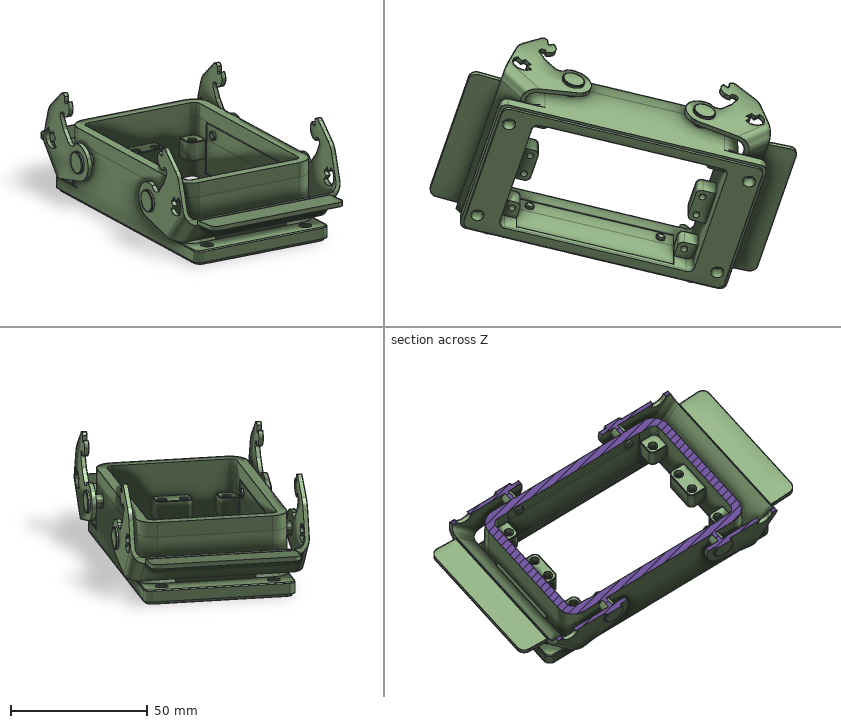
import math

import cadquery as cq

FLANGE_HALF_X = 50.8
LIP_HEIGHT = 1.1
LIP_INSET = 1.0
FLANGE_TOP = 5.6
FLANGE_CORNER = 2.7
FLANGE_EDGE_CHAMFER = 0.4
MOUNT_HOLE_DIAMETER = 4.7
MOUNT_HOLE_X = 45.8
MOUNT_HOLE_Y = 21.0

HOUSING_TOP = 28.5
SEAM_Z = 22.9
HOUSING_HALF_X = 41.0
HOUSING_HALF_Y = 28.2
HOUSING_CORNER = 6.7
DRAFT_OFFSET = 0.3
SKIRT_SIZE = 1.3
OPENING_HALF_X = 37.2
OPENING_HALF_Y = 24.3
OPENING_CORNER = 2.5
OPENING_DRAFT = 0.6

RECESS_HALF_X = 30.0
RECESS_DEPTH = 0.2
RECESS_HALF_Y = OPENING_HALF_Y + RECESS_DEPTH
RECESS_BOTTOM = 2.8
RECESS_TOP = 22.4
RECESS_DRAFT = 0.2

BOSS_INNER_X = 30.1
BOSS_TOP = 15.8
BOSS_BOTTOM = 8.5
BOSS_ROUND = 2.1
BOSS_EDGE_CHAMFER = 0.25
BOSS_OVERLAP = 1.0
CORNER_BOSS_INNER_Y = 17.1
MIDDLE_BOSS_HALF_Y = 6.9
SCREW_X = 32.9
SCREW_Y = (4.1, 20.0)
SCREW_DIAMETER = 2.5
SCREW_COUNTERBORE_DIAMETER = 3.4
SCREW_COUNTERBORE_DEPTH = 3.5

RIB_HALF_Y = 15.0
RIB_OUTER_X = 42.5
RIB_TOP = 9.0

PIVOT_X = 25.0
PIVOT_Z = 18.8
PIN_DIAMETER = 5.1
PIN_HEAD_DIAMETER = 8.3
PIN_HEAD_HEIGHT = 1.0
PIN_HEAD_CHAMFER = 0.3
PIN_TIP_DIAMETER = 3.3
PIN_TIP_Y = 23.4
PIN_TIP_CHAMFER = 0.4
PIN_SHOULDER_Y = 26.0

LEVER_HALF_Y = 33.55
SHEET = 1.7
BEND_RADIUS = 5.0
WEB_ANGLE = 49.0
WEB_TOP_X = -51.1
WEB_TOP_Z = 16.1
EAR_RADIUS = 7.0
EAR_LOWER_ANGLE = 13.0
EAR_NECK_ANGLE = 110.0
CHANNEL_LENGTH = 80.0
CHANNEL_DEPTH = 60.0
HANDLE_END_X = -124.95 / 2
HANDLE_RISE = 0.8
HANDLE_CORNER = 3.0
WINDOW_X = -43.6
WINDOW_Z = 23.1
WINDOW_HALF_CHORD = 4.0
WINDOW_DEPTH = 4.6
WINDOW_TAB_WIDTH = 3.0
WINDOW_TAB_LENGTH = 1.9
LEVER_TIP_Z = 42.37


def rounded_block(half_x, half_y, corner, bottom, top):
    block = cq.Workplane("XY").box(2 * half_x, 2 * half_y, top - bottom, centered=(True, True, False))
    return block.edges("|Z").fillet(corner).translate((0, 0, bottom))


def rounded_outline(half_x, half_y, corner):
    return cq.Sketch().rect(2 * half_x, 2 * half_y).vertices().fillet(corner)


def drafted_block(half_x, half_y, corner, spread, bottom, top):
    """Rounded block with the given size at the top, grown by spread at the bottom."""
    lower = rounded_outline(half_x + spread, half_y + spread, corner + spread)
    upper = rounded_outline(half_x, half_y, corner)
    return cq.Workplane("XY", origin=(0, 0, bottom)).placeSketch(
        lower, upper.moved(cq.Location(cq.Vector(0, 0, top - bottom)))
    ).loft()


def make_base():
    half_y = HOUSING_HALF_Y + DRAFT_OFFSET
    draft_prism = (
        cq.Workplane("YZ", origin=(-FLANGE_HALF_X, 0, 0))
        .moveTo(-half_y, LIP_HEIGHT)
        .lineTo(half_y, LIP_HEIGHT)
        .lineTo(HOUSING_HALF_Y, SEAM_Z)
        .lineTo(-HOUSING_HALF_Y, SEAM_Z)
        .close()
        .extrude(2 * FLANGE_HALF_X)
    )
    flange = rounded_block(FLANGE_HALF_X, half_y, FLANGE_CORNER, LIP_HEIGHT, FLANGE_TOP)
    flange = flange.faces(">Z").edges().chamfer(FLANGE_EDGE_CHAMFER)
    flange = flange.intersect(draft_prism)
    lip = rounded_block(FLANGE_HALF_X - LIP_INSET, half_y - LIP_INSET, FLANGE_CORNER, 0, LIP_HEIGHT)
    mount_holes = (
        cq.Workplane("XY")
        .rect(2 * MOUNT_HOLE_X, 2 * MOUNT_HOLE_Y, forConstruction=True)
        .vertices()
        .circle(MOUNT_HOLE_DIAMETER / 2)
        .extrude(FLANGE_TOP)
    )
    return flange.union(lip).cut(mount_holes)


def make_housing():
    upper = rounded_block(HOUSING_HALF_X, HOUSING_HALF_Y, HOUSING_CORNER, SEAM_Z, HOUSING_TOP)
    lower = drafted_block(
        HOUSING_HALF_X, HOUSING_HALF_Y, HOUSING_CORNER, DRAFT_OFFSET, LIP_HEIGHT, SEAM_Z
    )
    skirt = drafted_block(
        HOUSING_HALF_X, HOUSING_HALF_Y, HOUSING_CORNER, SKIRT_SIZE, FLANGE_TOP, FLANGE_TOP + SKIRT_SIZE
    )
    rib = (
        cq.Workplane("XY", origin=(0, 0, FLANGE_TOP))
        .rect(2 * RIB_OUTER_X, 2 * RIB_HALF_Y)
        .extrude(RIB_TOP - FLANGE_TOP)
    )
    footprint = cq.Workplane("XY").box(
        2 * FLANGE_HALF_X, 2 * HOUSING_HALF_Y, HOUSING_TOP, centered=(True, True, False)
    )
    skirt = skirt.intersect(footprint)
    return make_base().union(lower).union(upper).union(skirt).union(rib).clean()


def make_opening():
    upper = rounded_block(OPENING_HALF_X, OPENING_HALF_Y, OPENING_CORNER, SEAM_Z, HOUSING_TOP)
    lower = (
        cq.Workplane("XY", origin=(0, 0, LIP_HEIGHT))
        .placeSketch(
            rounded_outline(OPENING_HALF_X, OPENING_HALF_Y - OPENING_DRAFT, OPENING_CORNER),
            rounded_outline(OPENING_HALF_X, OPENING_HALF_Y, OPENING_CORNER).moved(
                cq.Location(cq.Vector(0, 0, SEAM_Z - LIP_HEIGHT))
            ),
        )
        .loft()
    )
    lip = rounded_block(
        OPENING_HALF_X, OPENING_HALF_Y - OPENING_DRAFT, OPENING_CORNER, 0, LIP_HEIGHT
    )
    sill_half_y = RECESS_HALF_Y - RECESS_DRAFT
    recess = (
        cq.Workplane("YZ", origin=(-RECESS_HALF_X, 0, 0))
        .moveTo(-sill_half_y, RECESS_BOTTOM)
        .lineTo(sill_half_y, RECESS_BOTTOM)
        .lineTo(RECESS_HALF_Y, BOSS_TOP)
        .lineTo(RECESS_HALF_Y, RECESS_TOP)
        .lineTo(-RECESS_HALF_Y, RECESS_TOP)
        .lineTo(-RECESS_HALF_Y, BOSS_TOP)
        .close()
        .extrude(2 * RECESS_HALF_X)
    )
    return upper.union(lower).union(lip).union(recess)


def make_boss(y_low, y_high, rounded_edges):
    """Boss on the -X inner wall; the chosen free vertical edges are rounded."""
    outer_x = OPENING_HALF_X + BOSS_OVERLAP
    boss = cq.Workplane("XY").box(
        outer_x - BOSS_INNER_X, y_high - y_low, BOSS_TOP - BOSS_BOTTOM, centered=False
    )
    boss = boss.edges(rounded_edges).fillet(BOSS_ROUND)
    boss = boss.faces(">Z").edges().chamfer(BOSS_EDGE_CHAMFER)
    return boss.translate((-outer_x, y_low, BOSS_BOTTOM))


def make_end_bosses():
    wall_y = OPENING_HALF_Y + BOSS_OVERLAP
    corner = make_boss(CORNER_BOSS_INNER_Y, wall_y, "|Z and >X and <Y")
    middle = make_boss(-MIDDLE_BOSS_HALF_Y, MIDDLE_BOSS_HALF_Y, "|Z and >X")
    bosses = middle.union(corner).union(corner.mirror("XZ"))
    screw_points = [(-SCREW_X, side * y) for y in SCREW_Y for side in (-1, 1)]
    holes = (
        cq.Workplane("XY", origin=(0, 0, BOSS_BOTTOM))
        .pushPoints(screw_points)
        .circle(SCREW_DIAMETER / 2)
        .extrude(BOSS_TOP - BOSS_BOTTOM)
    )
    counterbores = (
        cq.Workplane("XY", origin=(0, 0, BOSS_TOP))
        .pushPoints(screw_points)
        .circle(SCREW_COUNTERBORE_DIAMETER / 2)
        .extrude(-SCREW_COUNTERBORE_DEPTH)
    )
    return bosses.cut(holes).cut(counterbores)


def make_pin():
    """Pivot pin through the -Y wall at the -X end, headed on the outside."""

    def cylinder(diameter, y_from, y_to):
        plane = cq.Workplane("XZ", origin=(-PIVOT_X, -y_from, PIVOT_Z))
        return plane.circle(diameter / 2).extrude(y_to - y_from)

    head = cylinder(PIN_HEAD_DIAMETER, LEVER_HALF_Y, LEVER_HALF_Y + PIN_HEAD_HEIGHT)
    head = head.faces("<Y").edges().chamfer(PIN_HEAD_CHAMFER)
    shank = cylinder(PIN_DIAMETER, PIN_SHOULDER_Y, LEVER_HALF_Y)
    tip = cylinder(PIN_TIP_DIAMETER, PIN_TIP_Y, PIN_SHOULDER_Y)
    tip = tip.faces(">Y").edges().chamfer(PIN_TIP_CHAMFER)
    return head.union(shank).union(tip)


def web_plane():
    """Plane across the lever web: local x along Y, local y along its outward normal."""
    angle = math.radians(WEB_ANGLE)
    return cq.Plane(
        origin=(WEB_TOP_X, 0, WEB_TOP_Z),
        xDir=(0, 1, 0),
        normal=(-math.cos(angle), 0, math.sin(angle)),
    )


def make_channel():
    """Long U-channel whose outer web face lies along the slanted web."""

    def trough(half_width, floor, radius):
        block = (
            cq.Workplane("XY")
            .center(0, -(floor + CHANNEL_DEPTH) / 2)
            .rect(2 * half_width, CHANNEL_DEPTH - floor)
            .extrude(CHANNEL_LENGTH / 2, both=True)
        )
        return block.edges("|Z and >Y").fillet(radius)

    channel = trough(LEVER_HALF_Y, 0, BEND_RADIUS).cut(
        trough(LEVER_HALF_Y - SHEET, SHEET, BEND_RADIUS - SHEET)
    )
    return cq.Workplane(channel.val().located(cq.Location(web_plane())))


def make_lever_silhouette():
    """Side outline of the -X lever, filling the full width along Y."""
    web_slope = math.tan(math.radians(WEB_ANGLE))
    ear_angle = math.radians(EAR_LOWER_ANGLE)
    ear_low = (
        -PIVOT_X + EAR_RADIUS * math.sin(ear_angle),
        PIVOT_Z - EAR_RADIUS * math.cos(ear_angle),
    )
    ear_right = (-PIVOT_X + EAR_RADIUS, PIVOT_Z)
    neck_angle = math.radians(EAR_NECK_ANGLE)
    ear_neck = (
        -PIVOT_X + EAR_RADIUS * math.cos(neck_angle),
        PIVOT_Z + EAR_RADIUS * math.sin(neck_angle),
    )
    lower_slope = math.tan(ear_angle)
    foot_x = (WEB_TOP_Z + web_slope * WEB_TOP_X - ear_low[1] + lower_slope * ear_low[0]) / (
        web_slope + lower_slope
    )
    foot_z = WEB_TOP_Z - web_slope * (foot_x - WEB_TOP_X)

    outline = (
        cq.Workplane("XZ", origin=(0, LEVER_HALF_Y, 0))
        .moveTo(foot_x, foot_z)
        .lineTo(WEB_TOP_X, WEB_TOP_Z)
        .lineTo(-50.7, 18.3)
        .lineTo(-46.7, 31.6)
        .threePointArc((-45.7, 33.9), (-44.1, 35.8))
        .lineTo(-37.4, 41.7)
        .threePointArc((-36.1, LEVER_TIP_Z), (-34.7, 41.4))
        .lineTo(-34.6, 39.5)
        .lineTo(-34.1, 38.8)
        .lineTo(-32.4, 39.9)
        .threePointArc((-31.9, 35.5), (-35.3, 33.5))
        .lineTo(-35.3, 34.6)
        .threePointArc((-37.3, 34.6), (-37.8, 32.7))
        .lineTo(-35.7, 28.6)
        .lineTo(-31.9, 24.3)
        .threePointArc((-30.3, 23.7), ear_neck)
        .threePointArc(ear_right, ear_low)
        .close()
    )
    return outline.extrude(2 * LEVER_HALF_Y)


def make_window():
    """Opening shaped as a large half disc with a square tab, aimed along the web normal."""
    window = (
        cq.Workplane("XZ", origin=(0, LEVER_HALF_Y, 0))
        .moveTo(0, WINDOW_HALF_CHORD)
        .threePointArc((-WINDOW_DEPTH, 0), (0, -WINDOW_HALF_CHORD))
        .lineTo(0, -WINDOW_TAB_WIDTH / 2)
        .lineTo(WINDOW_TAB_LENGTH, -WINDOW_TAB_WIDTH / 2)
        .lineTo(WINDOW_TAB_LENGTH, WINDOW_TAB_WIDTH / 2)
        .lineTo(0, WINDOW_TAB_WIDTH / 2)
        .close()
        .extrude(2 * LEVER_HALF_Y)
    )
    tilt = 90 - WEB_ANGLE
    return window.rotate((0, 0, 0), (0, -1, 0), tilt).translate((WINDOW_X, 0, WINDOW_Z))


def make_handle():
    """Flat handle bent outward from the top of the web, rising slightly to its free end."""
    inner_top_z = WEB_TOP_Z + SHEET
    handle = (
        cq.Workplane("XZ", origin=(0, HOUSING_HALF_Y, 0))
        .moveTo(WEB_TOP_X, WEB_TOP_Z)
        .lineTo(HANDLE_END_X, WEB_TOP_Z + HANDLE_RISE)
        .lineTo(HANDLE_END_X, inner_top_z + HANDLE_RISE)
        .lineTo(WEB_TOP_X, inner_top_z)
        .lineTo(WEB_TOP_X + SHEET, WEB_TOP_Z)
        .close()
        .extrude(2 * HOUSING_HALF_Y)
    )
    return handle.edges("|Z and <X").fillet(HANDLE_CORNER)


def make_lever():
    return make_lever_silhouette().intersect(make_channel()).cut(make_window()).union(make_handle())


def on_both_ends(shape):
    return shape.union(shape.mirror("YZ"))


pin = make_pin()
result = make_housing().cut(make_opening())
for end_part in (make_end_bosses(), make_lever(), pin, pin.mirror("XZ")):
    result = result.union(on_both_ends(end_part))